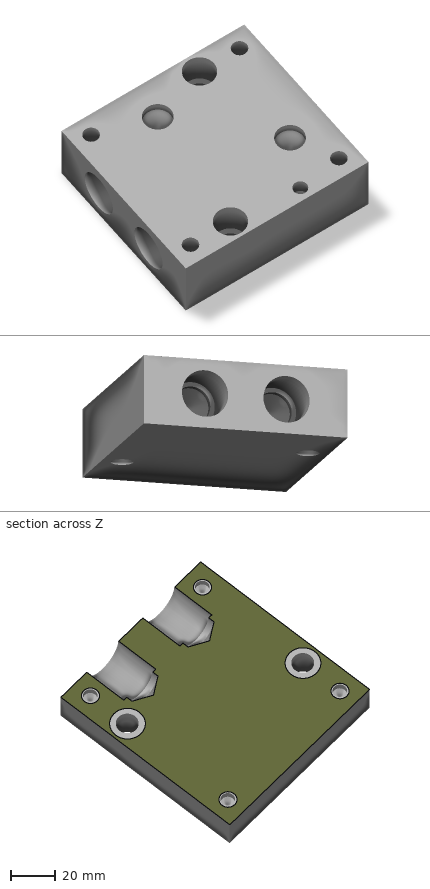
import cadquery as cq
import math

LENGTH_X = 95.25
LENGTH_Y = 101.6
HEIGHT = 31.75

DRILL_POINT_ANGLE = 120.0

CORNER_INSET = 9.525
THREAD_DIAMETER = 7.92
THREAD_DEPTH = 15.875
TAP_DRILL_DIAMETER = 6.53
TAP_DRILL_DEPTH = 19.05

BOLT_DIAMETER = 10.31
BOLT_COUNTERBORE_DIAMETER = 15.88
BOLT_COUNTERBORE_DEPTH = 15.875
BOLT_CENTERS = [
    (CORNER_INSET, 69.85),
    (LENGTH_X - CORNER_INSET, 31.75),
]

PASSAGE_DIAMETER = 14.28
PASSAGE_DEPTH = 4.1
PASSAGE_CENTERS = [(19.05, 39.7), (63.5, 81.0)]

PIN_DIAMETER = 7.14
PIN_DEPTH = 7.14
PIN_CENTER = (88.9, 68.3)

PORT_DIAMETER = 21.59
PORT_DEPTH = 22.225
PORT_DRILL_DIAMETER = 17.48
PORT_DRILL_DEPTH = 25.4
PORT_SPACING = 38.1
PORT_CENTER_Z = HEIGHT / 2


def drilled_hole(mouth, direction, diameter, depth):
    """Cutter for a blind hole; depth is to the rim of its conical bottom."""
    radius = diameter / 2
    cone_height = radius / math.tan(math.radians(DRILL_POINT_ANGLE / 2))
    bore = cq.Solid.makeCylinder(radius, depth, mouth, direction)
    point = cq.Solid.makeCone(radius, 0, cone_height, mouth + direction * depth, direction)
    return bore.fuse(point)


def top_hole(center, diameter, depth):
    return drilled_hole(cq.Vector(*center, HEIGHT), cq.Vector(0, 0, -1), diameter, depth)


def front_hole(x, diameter, depth):
    return drilled_hole(cq.Vector(x, 0, PORT_CENTER_Z), cq.Vector(0, 1, 0), diameter, depth)


def cut_corner_holes(body):
    for x in (CORNER_INSET, LENGTH_X - CORNER_INSET):
        for y in (CORNER_INSET, LENGTH_Y - CORNER_INSET):
            thread = cq.Solid.makeCylinder(
                THREAD_DIAMETER / 2, THREAD_DEPTH, cq.Vector(x, y, HEIGHT), cq.Vector(0, 0, -1)
            )
            body = body.cut(top_hole((x, y), TAP_DRILL_DIAMETER, TAP_DRILL_DEPTH)).cut(thread)
    return body


def cut_bolt_holes(body):
    return (
        body.faces(">Z").workplane(origin=(0, 0, HEIGHT))
        .pushPoints(BOLT_CENTERS)
        .cboreHole(BOLT_DIAMETER, BOLT_COUNTERBORE_DIAMETER, BOLT_COUNTERBORE_DEPTH)
    )


def cut_passages(body):
    for center in PASSAGE_CENTERS:
        body = body.cut(top_hole(center, PASSAGE_DIAMETER, PASSAGE_DEPTH))
    return body


def cut_pin_hole(body):
    return body.cut(top_hole(PIN_CENTER, PIN_DIAMETER, PIN_DEPTH))


def cut_ports(body):
    for side in (-1, 1):
        x = LENGTH_X / 2 + side * PORT_SPACING / 2
        counterbore = cq.Solid.makeCylinder(
            PORT_DIAMETER / 2, PORT_DEPTH, cq.Vector(x, 0, PORT_CENTER_Z), cq.Vector(0, 1, 0)
        )
        body = body.cut(front_hole(x, PORT_DRILL_DIAMETER, PORT_DRILL_DEPTH)).cut(counterbore)
    return body


block = cq.Workplane("XY").box(LENGTH_X, LENGTH_Y, HEIGHT, centered=False)
block = cut_bolt_holes(block)
block = cut_corner_holes(block)
block = cut_passages(block)
block = cut_pin_hole(block)
result = cut_ports(block)